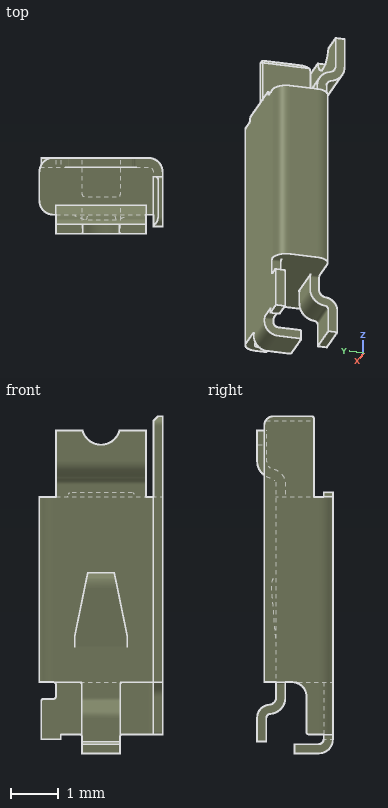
import cadquery as cq
import math

thickness = 0.2
small_radius = 0.05
bend_inner_radius = 0.1
bend_outer_radius = bend_inner_radius + thickness

body_width = 2.6
body_depth = 1.2
body_height = 3.9
left_x = -body_width / 2
right_x = body_width / 2
wall_inner_x = right_x - thickness
plate_front_y = body_depth - thickness

wall_front_y = -0.25
wall_back_y = 0.8
wall_rise = 1.7
wall_corner_radius = 0.2
wall_chamfer = 0.1

tab_step = 0.4
upper_tab_width = 1.9
upper_tab_height = 1.4
upper_tab_bend_end = 0.75
upper_tab_first_radius = 0.14
upper_tab_second_radius = 0.16
lower_tab_width = 0.8
lower_tab_height = 1.25
lower_tab_bend_end = 0.75
lower_tab_first_radius = 0.15
lower_tab_second_radius = 0.08
notch_radius = 0.4
notch_depth = 0.3

tongue_bottom = 0.75
tongue_shoulder = 0.98
tongue_crest_start = 1.98
tongue_crest_end = 2.18
tongue_top = 2.3
tongue_height = 0.1
tongue_crest_end_height = 0.07
tongue_bottom_width = 1.1
tongue_top_width = 0.56

ridge_width = 1.38
ridge_height = 0.1

skirt_height = 1.1
skirt_inset = 0.35
skirt_left_x = left_x + skirt_inset
leg_depth = 0.56
leg_front_y = body_depth - leg_depth
leg_root_radius = 0.3
hook_inset = 0.04
hook_left_x = left_x + hook_inset
hook_width = 0.415
hook_top = -0.35
hook_bottom = -1.2

foot_width = 0.8
foot_bottom = -1.5
foot_length = 0.815


def box(x0, x1, y0, y1, z0, z1):
    """Box between two opposite corners."""
    return cq.Workplane("XY").box(x1 - x0, y1 - y0, z1 - z0, centered=False).translate((x0, y0, z0))


def extrude_along_x(outline, width):
    """Extrude a YZ outline symmetrically about X = 0."""
    return outline.extrude(width / 2, both=True)


def concave_corner(plane, u, v, u_direction, v_direction, radius):
    """Closed outline that rounds the inside corner at (u, v)."""
    u_end = u + u_direction * radius
    v_end = v + v_direction * radius
    reach = radius * (1 - math.sqrt(0.5))
    arc_middle = (u + u_direction * reach, v + v_direction * reach)
    return cq.Workplane(plane).moveTo(u, v).lineTo(u_end, v).threePointArc(arc_middle, (u, v_end)).close()


def plate_corner(x, z, x_direction, z_direction, front_y):
    """Small concave rounding, one sheet thick, at an inside corner in XZ."""
    outline = concave_corner("XZ", x, z, x_direction, z_direction, small_radius)
    return outline.extrude(-thickness).translate((0, front_y, 0))


def make_body():
    body = box(left_x, right_x, 0, body_depth, 0, body_height)
    body = body.edges("|Z and >Y").fillet(bend_outer_radius)
    return body.edges("|Z and <Y and <X").fillet(bend_outer_radius)


def make_wall():
    wall = box(wall_inner_x, right_x, wall_front_y, wall_back_y, 0, body_height + wall_rise)
    wall = wall.edges("|Y and >Z and <X").chamfer(wall_chamfer)
    rounded_blank = box(wall_inner_x, right_x, wall_front_y, wall_back_y, 0, body_height + wall_rise)
    rounded_blank = rounded_blank.edges("|X and >Z and <Y").fillet(wall_corner_radius)
    rounded_blank = rounded_blank.edges("|X and >Z and >Y").fillet(small_radius)
    return wall.intersect(rounded_blank)


def stepped_tab(width, height, bend_end, first_radius, second_radius):
    """Tab rising from Z = 0 that steps forward through two opposite bends."""
    first_outer = first_radius + thickness
    second_outer = second_radius + thickness
    radius_sum = first_radius + second_radius + thickness
    angle = math.acos(1 - tab_step / radius_sum)
    bend_start = bend_end - radius_sum * math.sin(angle)
    first_center_y = -first_radius
    second_center_y = thickness - tab_step + second_radius

    def first_bend(radius, turn):
        return (first_center_y + radius * math.cos(turn), bend_start + radius * math.sin(turn))

    def second_bend(radius, turn):
        return (second_center_y - radius * math.cos(turn), bend_end - radius * math.sin(turn))

    outline = (
        cq.Workplane("YZ")
        .lineTo(0, bend_start)
        .threePointArc(first_bend(first_radius, angle / 2), first_bend(first_radius, angle))
        .threePointArc(second_bend(second_outer, angle / 2), second_bend(second_outer, 0))
        .lineTo(-tab_step, height)
        .lineTo(thickness - tab_step, height)
        .lineTo(thickness - tab_step, bend_end)
        .threePointArc(second_bend(second_radius, angle / 2), second_bend(second_radius, angle))
        .threePointArc(first_bend(first_outer, angle / 2), first_bend(first_outer, 0))
        .lineTo(thickness, 0)
        .close()
    )
    return extrude_along_x(outline, width)


def make_upper_tab():
    tab = stepped_tab(
        upper_tab_width,
        upper_tab_height,
        upper_tab_bend_end,
        upper_tab_first_radius,
        upper_tab_second_radius,
    )
    notch_center_z = upper_tab_height - notch_depth + notch_radius
    notch = cq.Workplane("XZ").center(0, notch_center_z).circle(notch_radius).extrude(tab_step)
    return tab.cut(notch).translate((0, 0, body_height))


def make_lower_tab():
    tab = stepped_tab(
        lower_tab_width,
        lower_tab_height,
        lower_tab_bend_end,
        lower_tab_first_radius,
        lower_tab_second_radius,
    ).mirror("XY")
    for side in (-1, 1):
        tab = tab.union(plate_corner(side * lower_tab_width / 2, 0, side, -1, 0))
    return tab


def make_tongue():
    profile = (
        cq.Workplane("YZ")
        .moveTo(0, tongue_bottom)
        .lineTo(-tongue_height, tongue_crest_start)
        .tangentArcPoint((-tongue_crest_end_height, tongue_crest_end), relative=False)
        .lineTo(0, tongue_top)
        .lineTo(thickness, tongue_top)
        .lineTo(thickness, tongue_bottom)
        .close()
    )
    wedge = extrude_along_x(profile, tongue_bottom_width)
    face_outline = (
        cq.Workplane("XZ")
        .moveTo(-tongue_bottom_width / 2, tongue_bottom)
        .lineTo(-tongue_bottom_width / 2, tongue_shoulder)
        .lineTo(-tongue_top_width / 2, tongue_top)
        .lineTo(tongue_top_width / 2, tongue_top)
        .lineTo(tongue_bottom_width / 2, tongue_shoulder)
        .lineTo(tongue_bottom_width / 2, tongue_bottom)
        .close()
        .extrude(body_depth, both=True)
    )
    return wedge.intersect(face_outline)


def make_ridge():
    ridge_top = body_height + ridge_height
    ridge = box(-ridge_width / 2, ridge_width / 2, plate_front_y, body_depth, body_height, ridge_top)
    ridge = ridge.edges("|Y and >Z").fillet(small_radius)
    for side in (-1, 1):
        ridge = ridge.union(plate_corner(side * ridge_width / 2, body_height, side, 1, plate_front_y))
    return ridge


def make_skirt():
    """Back plate bent round the right-hand corner into a side leg."""
    bend_center_x = right_x - bend_outer_radius
    bend_center_y = body_depth - bend_outer_radius
    diagonal = math.sqrt(0.5)
    outer_middle = (bend_center_x + bend_outer_radius * diagonal, bend_center_y + bend_outer_radius * diagonal)
    inner_middle = (bend_center_x + bend_inner_radius * diagonal, bend_center_y + bend_inner_radius * diagonal)
    skirt = (
        cq.Workplane("XY")
        .moveTo(skirt_left_x, body_depth)
        .lineTo(bend_center_x, body_depth)
        .threePointArc(outer_middle, (right_x, bend_center_y))
        .lineTo(right_x, leg_front_y)
        .lineTo(wall_inner_x, leg_front_y)
        .lineTo(wall_inner_x, bend_center_y)
        .threePointArc(inner_middle, (bend_center_x, plate_front_y))
        .lineTo(skirt_left_x, plate_front_y)
        .close()
        .extrude(-skirt_height)
    )
    skirt = skirt.edges("|X and <Z and <Y").fillet(small_radius)
    leg_root = concave_corner("YZ", leg_front_y, 0, -1, -1, leg_root_radius)
    leg_root = leg_root.extrude(thickness).translate((wall_inner_x, 0, 0))
    return skirt.union(leg_root)


def make_hook():
    """Short arm reaching out to the left of the back plate."""
    hook_right_x = hook_left_x + hook_width
    hook = box(hook_left_x, hook_right_x, plate_front_y, body_depth, hook_bottom, hook_top)
    hook = hook.edges("|Y and >Z and <X").fillet(small_radius)
    hook = hook.union(plate_corner(skirt_left_x, hook_top, -1, 1, plate_front_y))
    return hook.union(plate_corner(skirt_left_x, 0, -1, -1, plate_front_y))


def make_foot():
    foot_front_y = body_depth - foot_length
    foot_top = foot_bottom + thickness
    outline = (
        cq.Workplane("YZ")
        .moveTo(body_depth, -skirt_height)
        .lineTo(body_depth, foot_bottom + bend_outer_radius)
        .radiusArc((body_depth - bend_outer_radius, foot_bottom), bend_outer_radius)
        .lineTo(foot_front_y, foot_bottom)
        .lineTo(foot_front_y, foot_top)
        .lineTo(body_depth - bend_outer_radius, foot_top)
        .radiusArc((plate_front_y, foot_bottom + bend_outer_radius), -bend_inner_radius)
        .lineTo(plate_front_y, -skirt_height)
        .close()
    )
    foot = extrude_along_x(outline, foot_width)
    foot = foot.edges("|Z and <Y").fillet(small_radius)
    for side in (-1, 1):
        foot = foot.union(plate_corner(side * foot_width / 2, -skirt_height, side, -1, plate_front_y))
    return foot


result = (
    make_body()
    .union(make_wall())
    .union(make_upper_tab())
    .union(make_lower_tab())
    .union(make_tongue())
    .union(make_ridge())
    .union(make_skirt())
    .union(make_hook())
    .union(make_foot())
)